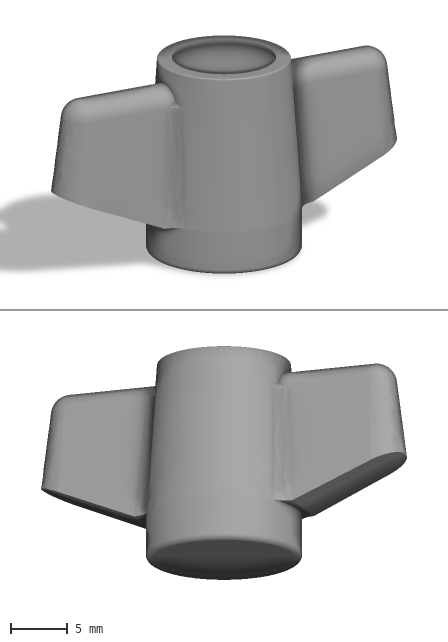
import cadquery as cq
import math

HUB_HEIGHT = 17.9
COLLAR_HEIGHT = 3.98
COLLAR_RADIUS = 6.87
HUB_TOP_RADIUS = 5.88
BOTTOM_ROUND = 0.48
TOP_ROUND = 0.17

CAP_RADIUS = 9.18 / 2
CAP_THICKNESS = 1.0
CAP_DEPTH = 0.4

WING_REACH = 17.0
WING_TIP_Z = 8.0
WING_SHOULDER_Z = 14.8
WING_TOP_Z = 16.42
WING_BASE_HALF_WIDTH = 2.72
WING_SHOULDER_HALF_WIDTH = 1.8
WING_SHOULDER_CENTER_Y = 14.3
WING_FLAT_END_Y = 7.4

FLARE_BASE_RADIUS = 1.87
FLARE_SHOULDER_RADIUS = 1.15
FLARE_TOP_RADIUS = 0.27
FLARE_TOP_HALF_WIDTH = 0.27
FLARE_TOP_Z = 16.3

tip_fraction = (WING_TIP_Z - COLLAR_HEIGHT) / (WING_SHOULDER_Z - COLLAR_HEIGHT)
half_width_change = WING_SHOULDER_HALF_WIDTH - WING_BASE_HALF_WIDTH
tip_radius = WING_BASE_HALF_WIDTH + tip_fraction * half_width_change
tip_center_y = WING_REACH - tip_radius
wing_base_center_y = (tip_center_y - tip_fraction * WING_SHOULDER_CENTER_Y) / (1 - tip_fraction)


def hub_radius(z):
    """Radius of the hub cone at height z."""
    fraction = (z - COLLAR_HEIGHT) / (HUB_HEIGHT - COLLAR_HEIGHT)
    return COLLAR_RADIUS + fraction * (HUB_TOP_RADIUS - COLLAR_RADIUS)


def make_hub():
    profile = [
        (0, 0),
        (COLLAR_RADIUS, 0),
        (COLLAR_RADIUS, COLLAR_HEIGHT),
        (HUB_TOP_RADIUS, HUB_HEIGHT),
        (0, HUB_HEIGHT),
    ]
    hub = cq.Workplane("XZ").polyline(profile).close().revolve(360, (0, 0), (0, 1))
    return hub.faces("<Z").edges().fillet(BOTTOM_ROUND).faces(">Z").edges().fillet(TOP_ROUND)


def wing_section(z, half_width, center_y):
    """Wire of a horizontal wing section, from the hub axis to its round tip."""
    return (
        cq.Workplane("XY", origin=(0, 0, z))
        .moveTo(-half_width, 0)
        .lineTo(half_width, 0)
        .lineTo(half_width, center_y)
        .threePointArc((0, center_y + half_width), (-half_width, center_y))
        .close()
        .val()
    )


def make_wing_sides():
    base = wing_section(COLLAR_HEIGHT, WING_BASE_HALF_WIDTH, wing_base_center_y)
    shoulder = wing_section(WING_SHOULDER_Z, WING_SHOULDER_HALF_WIDTH, WING_SHOULDER_CENTER_Y)
    return cq.Workplane(cq.Solid.makeLoft([base, shoulder], True))


def make_wing_crest():
    """Rounded ridge ending in a spherical dome, kept above the shoulder."""
    rise = WING_TOP_Z - WING_SHOULDER_Z
    radius = (WING_SHOULDER_HALF_WIDTH**2 + rise**2) / (2 * rise)
    center_z = WING_TOP_Z - radius
    ridge = (
        cq.Workplane("XZ", origin=(0, 0, center_z))
        .circle(radius)
        .extrude(-WING_SHOULDER_CENTER_Y)
    )
    dome = cq.Workplane("XY", origin=(0, WING_SHOULDER_CENTER_Y, center_z)).sphere(radius)
    above_shoulder = (
        cq.Workplane("XY", origin=(0, 0, WING_SHOULDER_Z))
        .rect(2 * WING_REACH, 2 * WING_REACH)
        .extrude(HUB_HEIGHT)
    )
    return ridge.union(dome).intersect(above_shoulder)


def flare_section(z, half_width, radius):
    """Wire with concave arcs tangent to both wing sides and to the hub circle."""
    hub = hub_radius(z)
    arc_x = half_width + radius
    arc_y = math.sqrt((hub + radius) ** 2 - arc_x**2)
    hub_share = hub / (hub + radius)
    hub_x = arc_x * hub_share
    hub_y = arc_y * hub_share
    middle_angle = (math.pi + math.atan2(-arc_y, -arc_x) + 2 * math.pi) / 2
    middle_x = arc_x + radius * math.cos(middle_angle)
    middle_y = arc_y + radius * math.sin(middle_angle)
    return (
        cq.Workplane("XY", origin=(0, 0, z))
        .moveTo(0, 0)
        .lineTo(hub_x, hub_y)
        .threePointArc((middle_x, middle_y), (half_width, arc_y))
        .lineTo(-half_width, arc_y)
        .threePointArc((-middle_x, middle_y), (-hub_x, hub_y))
        .close()
        .val()
    )


def make_flare():
    base = flare_section(COLLAR_HEIGHT, WING_BASE_HALF_WIDTH, FLARE_BASE_RADIUS)
    shoulder = flare_section(WING_SHOULDER_Z, WING_SHOULDER_HALF_WIDTH, FLARE_SHOULDER_RADIUS)
    top = flare_section(FLARE_TOP_Z, FLARE_TOP_HALF_WIDTH, FLARE_TOP_RADIUS)
    lower = cq.Workplane(cq.Solid.makeLoft([base, shoulder], True))
    return lower.union(cq.Workplane(cq.Solid.makeLoft([shoulder, top], True)))


def make_underside_cut():
    """Wedge removed below the wing so that it rises from the hub to the tip."""
    slope = (WING_TIP_Z - COLLAR_HEIGHT) / (WING_REACH - WING_FLAT_END_Y)
    end_y = 2 * WING_REACH
    end_z = COLLAR_HEIGHT + slope * (end_y - WING_FLAT_END_Y)
    return (
        cq.Workplane("YZ")
        .moveTo(WING_FLAT_END_Y, COLLAR_HEIGHT)
        .lineTo(end_y, end_z)
        .lineTo(end_y, 0)
        .lineTo(WING_FLAT_END_Y, 0)
        .close()
        .extrude(COLLAR_RADIUS, both=True)
    )


def make_wing():
    wing = make_wing_sides().union(make_wing_crest()).cut(make_underside_cut())
    return wing.union(make_flare())


def make_knob():
    knob = make_hub()
    wing = make_wing()
    for angle in (0, 180):
        knob = knob.union(wing.rotate((0, 0, 0), (0, 0, 1), angle))
    pocket = (
        cq.Workplane("XY", origin=(0, 0, HUB_HEIGHT))
        .circle(CAP_RADIUS)
        .extrude(-(CAP_DEPTH + CAP_THICKNESS))
    )
    return knob.cut(pocket)


def make_cap():
    return (
        cq.Workplane("XY", origin=(0, 0, HUB_HEIGHT - CAP_DEPTH))
        .circle(CAP_RADIUS)
        .extrude(-CAP_THICKNESS)
    )


knob = make_knob()
cap = make_cap()
result = cq.Compound.makeCompound([knob.solids().val(), cap.val()])